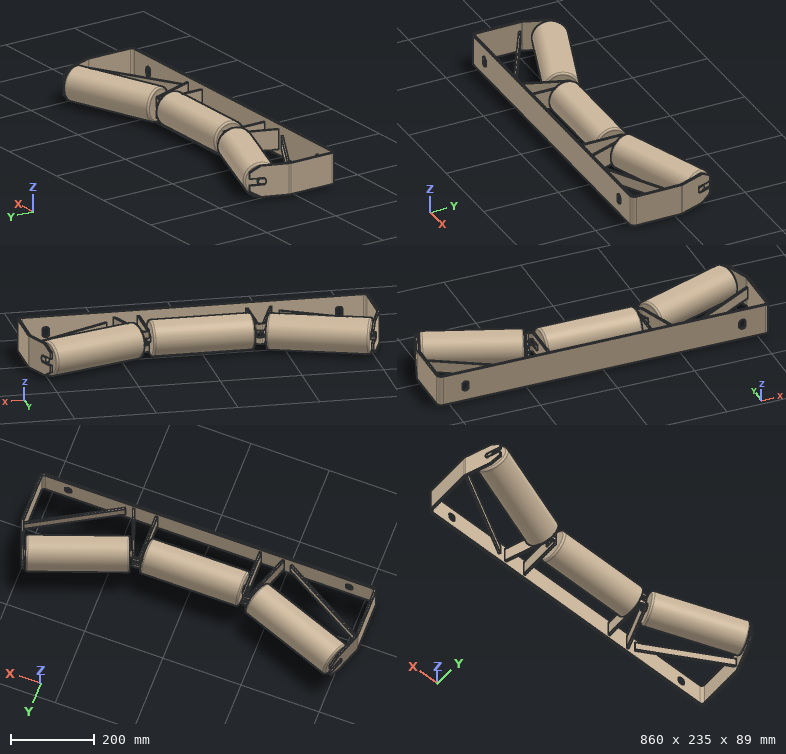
import cadquery as cq
import math

frame_length = 860.0
frame_width = 80.0
overall_depth = 235.0
plate = 5.0
frame_bend_radius = 12.0
bracket_bend_radius = 9.0

drum_diameter = 89.0
drum_length = 250.0
drum_edge_radius = 5.0
shaft_diameter = 20.0
shaft_flat_width = 14.0
plate_gap = 5.0
tilt = math.radians(20)
middle_roller_y = 99.0

slot_width = 17.0
slot_height = 172.0

tip_above_axis = 30.0
tip_cut_length = 27.0
tip_cut_width = 15.05

hole_x = 359.5
hole_width = 17.0
hole_height = 26.0

bracket_width = 52.0
bracket_top_y = 126.0

brace_width = 30.0
brace_foot_x = 213.0
brace_slope = math.radians(29.5)

drum_radius = drum_diameter / 2
support_near = drum_length / 2 + plate_gap
support_far = support_near + plate
shaft_length = 2 * support_far
half_length = frame_length / 2
edge_core_x = drum_length / 2 - drum_edge_radius
edge_core_y = drum_radius - drum_edge_radius
roller_reach = edge_core_x * math.sin(tilt) + edge_core_y * math.cos(tilt) + drum_edge_radius
side_roller_y = overall_depth - roller_reach
side_roller_x = 279.5

middle_place = cq.Location(cq.Plane(origin=(0, middle_roller_y, 0)))
left_place = cq.Location(
    cq.Plane(
        origin=(-side_roller_x, side_roller_y, 0),
        xDir=(math.cos(tilt), -math.sin(tilt), 0),
        normal=(0, 0, 1),
    )
)


def mirrored(body):
    """The same body on the +X side."""
    return body.mirror("YZ")


def left_point(along, above):
    """Point at a distance along the left roller's axis and a distance above it."""
    x = -side_roller_x + along * math.cos(tilt) + above * math.sin(tilt)
    y = side_roller_y - along * math.sin(tilt) + above * math.cos(tilt)
    return (x, y)


def left_point_at_x(along, x):
    """Point of a plate square to the left roller's axis, at a given X."""
    above = (x - left_point(along, 0)[0]) / math.sin(tilt)
    return left_point(along, above)


def left_point_at_y(along, y):
    """Point of a plate square to the left roller's axis, at a given Y."""
    above = (y - left_point(along, 0)[1]) / math.cos(tilt)
    return left_point(along, above)


def folded_plate(outer, inner, width, bend_radius):
    """Plate folded about Z between two outlines, every fold rounded inside and outside."""
    body = cq.Workplane("XY").polyline(outer + inner[::-1]).close()
    body = body.extrude(width / 2, both=True)
    for points, radius in ((outer, bend_radius), (inner, bend_radius - plate)):
        for x, y in points[1:-1]:
            fold = cq.selectors.NearestToPointSelector((x, y, 0))
            body = body.edges("|Z").edges(fold).fillet(radius)
    return body


def bar(diameter, length):
    """Round bar along X, centred on the origin."""
    return cq.Workplane("YZ", origin=(-length / 2, 0, 0)).circle(diameter / 2).extrude(length)


def shaft_end_slots(place):
    """Cutter for the two open slots around a roller's shaft ends."""
    cut_length = shaft_length + 2 * plate
    seat = bar(shaft_diameter, cut_length)
    seat = seat.intersect(cq.Workplane("XY").box(cut_length, shaft_diameter, slot_width))
    opening = cq.Workplane("XY").box(
        cut_length, slot_height, slot_width, centered=(True, False, True)
    )
    between_plates = cq.Workplane("XY").box(drum_length, 3 * slot_height, frame_width)
    return seat.union(opening).cut(between_plates).val().moved(place)


def make_roller(place):
    """Drum with rounded rims and a shaft whose ends are flush with the far plate faces."""
    drum = bar(drum_diameter, drum_length).edges().fillet(drum_edge_radius)
    shaft = bar(shaft_diameter, 2 * support_near)
    flats = cq.Workplane("XY").box(shaft_length, shaft_diameter, shaft_flat_width)
    ends = bar(shaft_diameter, shaft_length).intersect(flats)
    return drum.union(shaft).union(ends).val().moved(place)


def tip_corner_cuts():
    """Cutters for the two sloping corners at the tip of the left end plate."""
    start_y = tip_above_axis - tip_cut_length
    corner = (
        cq.Workplane("YZ", origin=(-support_far - plate, 0, 0))
        .moveTo(start_y, frame_width / 2)
        .lineTo(tip_above_axis, frame_width / 2 - tip_cut_width)
        .lineTo(tip_above_axis, frame_width / 2)
        .close()
        .extrude(3 * plate)
    )
    return corner.union(corner.mirror("XY")).val().moved(left_place)


def make_frame():
    """Long base with two upturned sides, each with its end leaning in square to its roller."""
    left_outer = [
        left_point(-support_far, tip_above_axis),
        left_point_at_x(-support_far, -half_length),
        (-half_length, 0),
    ]
    left_inner = [
        left_point(-support_near, tip_above_axis),
        left_point_at_x(-support_near, -half_length + plate),
        (-half_length + plate, plate),
    ]
    outer = left_outer + [(-x, y) for x, y in left_outer[::-1]]
    inner = left_inner + [(-x, y) for x, y in left_inner[::-1]]
    frame = folded_plate(outer, inner, frame_width, frame_bend_radius)

    for cutter in (tip_corner_cuts(), shaft_end_slots(left_place)):
        left_cut = cq.Workplane(cutter)
        frame = frame.cut(left_cut).cut(mirrored(left_cut))

    holes = (
        cq.Workplane("XZ")
        .pushPoints([(-hole_x, 0), (hole_x, 0)])
        .slot2D(hole_height, hole_width, 90)
        .extrude(-plate)
    )
    return frame.cut(holes)


def make_left_bracket():
    """Inverted V between two rollers: each leg square to its roller's axis."""
    outer = [
        left_point_at_y(support_near, plate),
        left_point_at_y(support_near, bracket_top_y),
        (-support_near, bracket_top_y),
        (-support_near, plate),
    ]
    inner = [
        left_point_at_y(support_far, plate),
        left_point_at_y(support_far, bracket_top_y - plate),
        (-support_far, bracket_top_y - plate),
        (-support_far, plate),
    ]
    bracket = folded_plate(outer, inner, bracket_width, bracket_bend_radius)
    for place in (left_place, middle_place):
        bracket = bracket.cut(cq.Workplane(shaft_end_slots(place)))
    return bracket


def make_left_brace():
    """Flat bar from the frame's side wall down to its base, square at the foot."""
    wall_x = -half_length + plate
    wall_y = plate + (-brace_foot_x - wall_x) * math.tan(brace_slope)
    return (
        cq.Workplane("XY")
        .moveTo(wall_x, wall_y)
        .lineTo(-brace_foot_x, plate)
        .lineTo(-brace_foot_x + plate * math.sin(brace_slope), plate + plate * math.cos(brace_slope))
        .lineTo(wall_x, wall_y + plate / math.cos(brace_slope))
        .close()
        .extrude(brace_width / 2, both=True)
    )


frame = make_frame()
left_bracket = make_left_bracket()
left_brace = make_left_brace()
left_roller = cq.Workplane(make_roller(left_place))
middle_roller = cq.Workplane(make_roller(middle_place))

bodies = [frame.val(), middle_roller.val()]
for body in (left_bracket, left_brace, left_roller):
    bodies.append(body.val())
    bodies.append(mirrored(body).val())

result = cq.Compound.makeCompound(bodies)